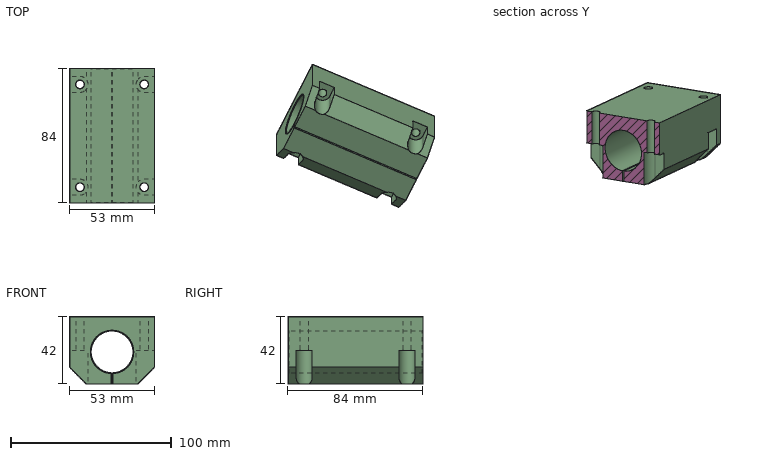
import cadquery as cq

width = 53.0
length = 84.0
height = 42.0
corner_cut = 10.5

bore_diameter = 26.0
bore_chamfer = 0.5
bore_depth_below_top = 22.0
bore_z = height - bore_depth_below_top
slit_width = 0.8

hole_diameter = 5.2
hole_spacing_x = 40.0
hole_spacing_y = 64.0
pocket_width = 10.0
pocket_height = height / 2


def make_block():
    return (
        cq.Workplane("XY")
        .box(width, length, height, centered=(True, True, False))
        .faces("<Z")
        .edges("|Y")
        .chamfer(corner_cut)
    )


def make_bore():
    """Through bore with a chamfer at each mouth."""
    radius = bore_diameter / 2
    mouth_radius = radius + bore_chamfer
    half_length = length / 2
    straight_end = half_length - bore_chamfer
    return (
        cq.Workplane("XY")
        .moveTo(0, -half_length)
        .lineTo(mouth_radius, -half_length)
        .lineTo(radius, -straight_end)
        .lineTo(radius, straight_end)
        .lineTo(mouth_radius, half_length)
        .lineTo(0, half_length)
        .close()
        .revolve(360, (0, 0), (0, 1))
        .translate((0, 0, bore_z))
    )


def make_slit():
    """Slit from the bore down through the underside."""
    return cq.Workplane("XY").box(slit_width, length, bore_z, centered=(True, True, False))


def make_mounting(side, y):
    """Vertical hole and a round-ended pocket, open below and to the given side."""
    x = side * hole_spacing_x / 2
    open_length = width / 2 - hole_spacing_x / 2
    hole = cq.Workplane("XY").center(x, y).circle(hole_diameter / 2).extrude(height)
    round_end = cq.Workplane("XY").center(x, y).circle(pocket_width / 2).extrude(pocket_height)
    opening = (
        cq.Workplane("XY")
        .center(x + side * open_length / 2, y)
        .rect(open_length, pocket_width)
        .extrude(pocket_height)
    )
    return hole.union(round_end).union(opening)


result = make_block().cut(make_bore()).cut(make_slit())
for side in (-1, 1):
    for y in (-hole_spacing_y / 2, hole_spacing_y / 2):
        result = result.cut(make_mounting(side, y))